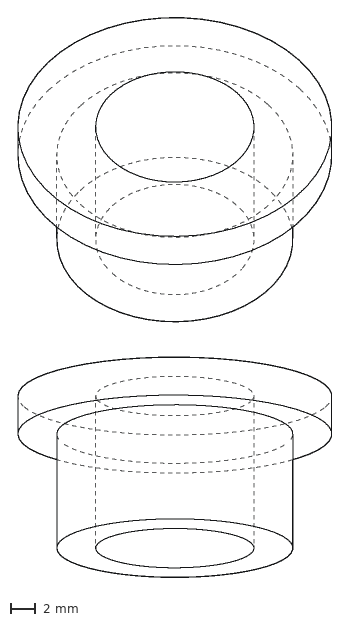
import cadquery as cq

flange_diameter = 25.4
body_diameter = 19.1
bore_diameter = 12.8
total_height = 12.7
flange_thickness = 3.18

flange_radius = flange_diameter / 2
body_radius = body_diameter / 2
bore_radius = bore_diameter / 2
top = total_height / 2
bottom = -top
flange_bottom = top - flange_thickness

half_section = (
    cq.Workplane("XZ")
    .moveTo(bore_radius, bottom)
    .lineTo(body_radius, bottom)
    .lineTo(body_radius, flange_bottom)
    .lineTo(flange_radius, flange_bottom)
    .lineTo(flange_radius, top)
    .lineTo(bore_radius, top)
    .close()
)

result = half_section.revolve(360, (0, 0, 0), (0, 1, 0))